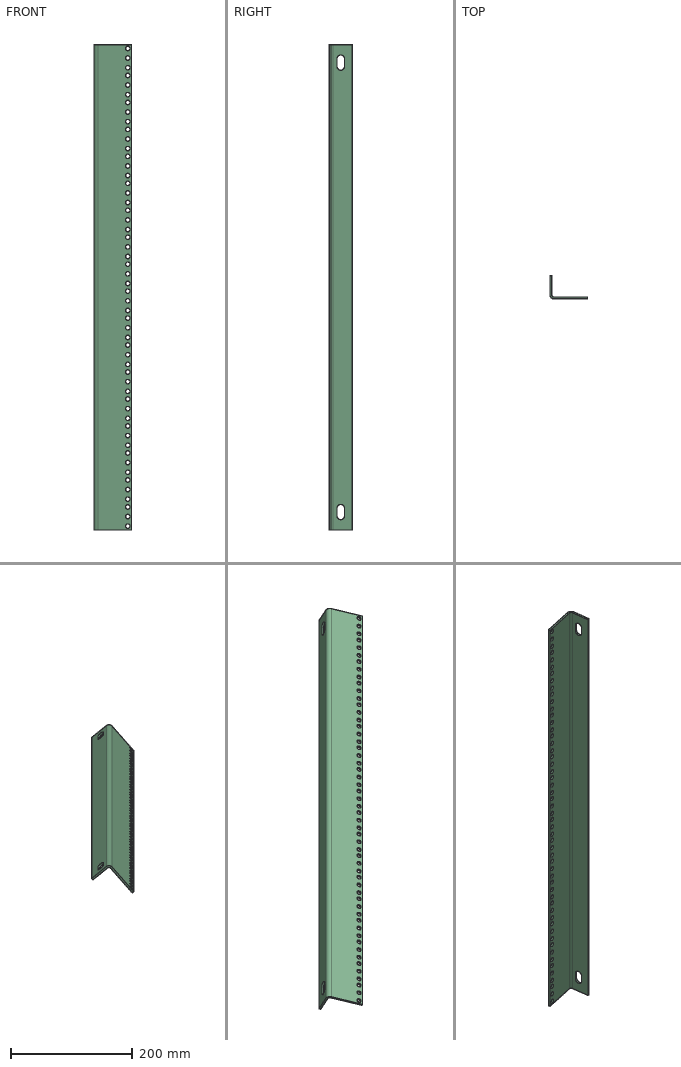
import cadquery as cq

length = 800.0
front_width = 62.5
side_depth = 38.5
thickness = 3.4
bend_outer_radius = 6.8
bend_inner_radius = bend_outer_radius - thickness

rack_units = 18
rack_unit = length / rack_units
middle_to_outer_share = 5 / 14
hole_offset = rack_unit * middle_to_outer_share
hole_diameter = 7.05
hole_edge_distance = 6.5

slot_length = 25.0
slot_width = 12.0
slot_end_distance = 30.0
slot_y = side_depth / 2


def angle_profile():
    """L-shaped sheet with a rounded bend, its outer faces on X = 0 and Y = 0."""
    angle = (
        cq.Workplane("XY")
        .polyline([
            (0, 0),
            (front_width, 0),
            (front_width, thickness),
            (thickness, thickness),
            (thickness, side_depth),
            (0, side_depth),
        ])
        .close()
        .extrude(length)
    )
    outer_bend = cq.selectors.NearestToPointSelector((0, 0, length / 2))
    inner_bend = cq.selectors.NearestToPointSelector((thickness, thickness, length / 2))
    angle = angle.edges(inner_bend).fillet(bend_inner_radius)
    return angle.edges(outer_bend).fillet(bend_outer_radius)


def front_holes():
    """Round holes through the front flange."""
    hole_x = front_width - hole_edge_distance
    centres = []
    for unit in range(rack_units):
        middle_z = (unit + 0.5) * rack_unit
        for step in (-1, 0, 1):
            centres.append((hole_x, middle_z + step * hole_offset))
    return (
        cq.Workplane("XZ")
        .pushPoints(centres)
        .circle(hole_diameter / 2)
        .extrude(-thickness)
    )


def side_slots():
    """Slots along Z through the side flange."""
    return (
        cq.Workplane("YZ")
        .pushPoints([(slot_y, slot_end_distance), (slot_y, length - slot_end_distance)])
        .slot2D(slot_length, slot_width, 90)
        .extrude(thickness)
    )


result = angle_profile().cut(front_holes()).cut(side_slots())